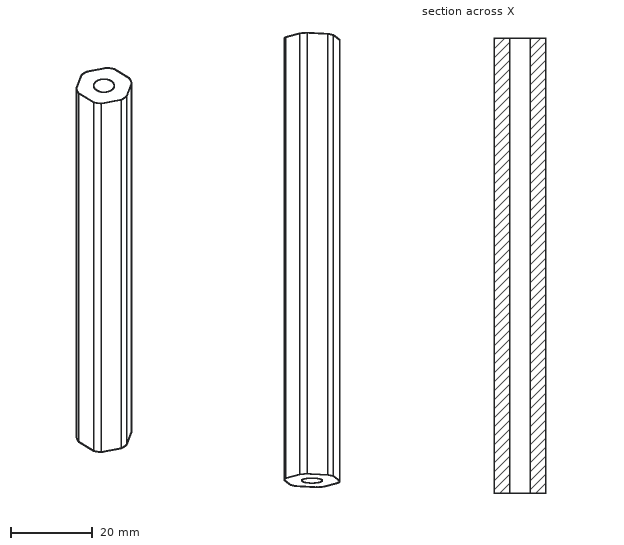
import cadquery as cq
import math

length = 111.5
across_flats = 12.7
corner_diameter = 13.7
bore_diameter = 5.0

sharp_corner_diameter = across_flats / math.cos(math.pi / 6)
hexagon = cq.Workplane("XY").polygon(6, sharp_corner_diameter).extrude(length)

round_bar = cq.Workplane("XY").circle(corner_diameter / 2).extrude(length)
body = hexagon.intersect(round_bar)

bore = cq.Workplane("XY").circle(bore_diameter / 2).extrude(length)
result = body.cut(bore)